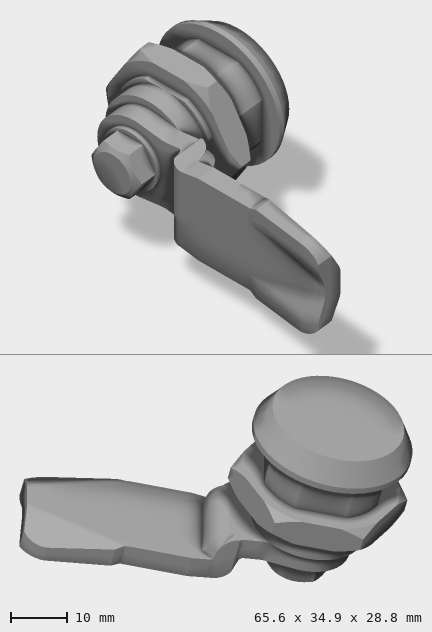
import cadquery as cq
import math


NUT_TOP = 8.1
NUT_THICKNESS = 5.1
FLATS_END = 14.35
BODY_END = 18.5
SHEET = 4.05
CAM_FRONT = BODY_END + SHEET
WASHER_THICKNESS = 1.0
BOLT_SEAT = CAM_FRONT + WASHER_THICKNESS
BOLT_HEIGHT = 4.8
TIP_DEPTH = 29.5

HEAD_RADIUS = 14.4
HEAD_FACE_RADIUS = 11.95
HEAD_HEIGHT = 5.4
HEAD_RIM = 1.2

BODY_FLATS = 20.6
BODY_FLAT_LENGTH = 9.4
NUT_CORNER_RADIUS = 16.0
NUT_CHAMFER_RADIUS = 14.3
NUT_CHAMFER_HEIGHT = 1.4
WASHER_RADIUS = 6.4
BOLT_CORNER_RADIUS = 5.95
BOLT_CHAMFER_RADIUS = 4.3
BOLT_CHAMFER_HEIGHT = 1.25

BOSS_RADIUS = 8.6
FLANK_SLOPE = 0.147
WAIST_START = 6.4
WAIST_END = 8.0
BULGE_START = 11.75
BULGE_FULL = 12.25
BULGE_END = 15.75
BULGE_HALF_WIDTH = 8.8
ARM_START = 19.7
ARM_HALF_WIDTH = 9.5
FINGER_START = 31.85
FINGER_FULL = 33.5
FINGER_HALF_WIDTH = 10.3
TIP_START = 44.8
TIP_END = 65.6 - NUT_CORNER_RADIUS
TIP_HALF_WIDTH = 7.55

ARM_BACK = 23.6
ARM_FRONT = ARM_BACK + SHEET
BEND_FRONT_START = 10.75
BEND_BACK_START = 12.8
BEND_END = 15.75
BEND_WEB_TOP = (11.4, 23.15)
BEND_WEB_BOTTOM = (11.9, 24.65)
BEND_BACK_MIDDLE = (14.9, 20.2)
GUSSET_START = 14.2
GUSSET_MIDDLE = (16.65, 19.8)
GUSSET_SHOULDER = (17.45, 21.3)
GUSSET_END = 18.0
GUSSET_EDGE = 1.95

RAMP_END = 45.45
RAMP_KNEE_DEPTH = 27.95
FORK_SLOPE = 0.291
FORK_HALF_GAP = 1.5
FLARE_ANGLE = math.radians(24.6)
FLARE_BLEND = 0.9
CREST_RADIUS = 4.7
RELIEF_SLOPE = 0.37
RELIEF_ANGLE = math.radians(29.5)
RELIEF_BLEND = 0.8
RELIEF_TIP_Z = 3.1
SLOPE_LENGTH = 39.35


def at_depth(depth):
    """Sketch plane with local axes X and Z whose extrusions run toward -Y."""
    return cq.Workplane("XZ", origin=(0, -depth, 0))


def disc(radius, start, end):
    return at_depth(start).circle(radius).extrude(end - start)


def revolve_about_lock(points):
    """Solid of revolution from (radius, depth) points."""
    outline = [(radius, -depth) for radius, depth in points]
    return cq.Workplane("XY").polyline(outline).close().revolve(360, (0, 0), (0, 1))


def chamfered_hexagon(corner_radius, start, height, chamfer_radius, chamfer_height, both_ends):
    """Hexagon with corners on X and conical chamfers on its front or on both ends."""
    hexagon = at_depth(start).polygon(6, 2 * corner_radius).extrude(height)
    end = start + height
    back = [(0, start), (corner_radius, start)]
    if both_ends:
        back = [(0, start), (chamfer_radius, start), (corner_radius, start + chamfer_height)]
    front = [(corner_radius, end - chamfer_height), (chamfer_radius, end), (0, end)]
    return hexagon.intersect(revolve_about_lock(back + front))


def lock_body():
    head = revolve_about_lock([
        (0, -HEAD_HEIGHT), (HEAD_FACE_RADIUS, -HEAD_HEIGHT),
        (HEAD_RADIUS, -HEAD_RIM), (HEAD_RADIUS, 0), (0, 0),
    ])
    barrel_radius = math.hypot(BODY_FLATS, BODY_FLAT_LENGTH) / 2
    flats = at_depth(0).rect(BODY_FLATS, BODY_FLATS).extrude(FLATS_END)
    barrel = disc(barrel_radius, 0, FLATS_END).intersect(flats)
    return head.union(barrel).union(disc(BODY_FLATS / 2, FLATS_END, BODY_END))


def cam_outline():
    """Cam silhouette as a prism through the whole depth of the cam."""
    flank_x = BOSS_RADIUS * math.sin(math.atan(FLANK_SLOPE))
    flank_z = math.sqrt(BOSS_RADIUS**2 - flank_x**2)
    waist_z = flank_z - FLANK_SLOPE * (WAIST_START - flank_x)
    bulge_start_z = waist_z + FLANK_SLOPE * (BULGE_START - WAIST_END)
    upper_half = (
        at_depth(BODY_END)
        .moveTo(-BOSS_RADIUS, 0)
        .threePointArc((-BOSS_RADIUS * math.sqrt(0.5), BOSS_RADIUS * math.sqrt(0.5)), (flank_x, flank_z))
        .lineTo(WAIST_START, waist_z)
        .tangentArcPoint((WAIST_END, waist_z), relative=False)
        .lineTo(BULGE_START, bulge_start_z)
        .lineTo(BULGE_FULL, BULGE_HALF_WIDTH)
        .lineTo(BULGE_END, BULGE_HALF_WIDTH)
        .lineTo(ARM_START, ARM_HALF_WIDTH)
        .lineTo(FINGER_START, ARM_HALF_WIDTH)
        .lineTo(FINGER_FULL, FINGER_HALF_WIDTH)
        .lineTo(TIP_START, FINGER_HALF_WIDTH)
        .tangentArcPoint((TIP_END, TIP_HALF_WIDTH), relative=False)
        .lineTo(TIP_END, 0)
        .close()
        .extrude(TIP_DEPTH - BODY_END)
    )
    return upper_half.union(upper_half.mirror("XY"))


def at(point):
    """Turn an (X, depth) pair into XY coordinates."""
    return (point[0], -point[1])


def joggled_sheet():
    """Bent sheet of constant thickness, wider than the cam."""
    return (
        cq.Workplane("XY")
        .moveTo(-BOSS_RADIUS, -BODY_END)
        .lineTo(BEND_BACK_START, -BODY_END)
        .threePointArc(at(BEND_BACK_MIDDLE), (BEND_END, -ARM_BACK))
        .lineTo(TIP_END, -ARM_BACK)
        .lineTo(TIP_END, -ARM_FRONT)
        .lineTo(BEND_END, -ARM_FRONT)
        .tangentArcPoint(at(BEND_WEB_BOTTOM), relative=False)
        .lineTo(*at(BEND_WEB_TOP))
        .tangentArcPoint((BEND_FRONT_START, -CAM_FRONT), relative=False)
        .lineTo(-BOSS_RADIUS, -CAM_FRONT)
        .close()
        .extrude(FINGER_HALF_WIDTH, both=True)
    )


def bend_gusset():
    """Swelling behind the joggle, sloping away toward both sides of the cam."""
    flat_half_width = BULGE_HALF_WIDTH - GUSSET_EDGE
    profile = (
        cq.Workplane("XY")
        .workplane(offset=flat_half_width)
        .moveTo(BEND_BACK_START, -BODY_END)
        .lineTo(GUSSET_START, -BODY_END)
        .threePointArc(at(GUSSET_MIDDLE), at(GUSSET_SHOULDER))
        .lineTo(GUSSET_END, -ARM_BACK)
        .lineTo(GUSSET_END, -ARM_BACK - GUSSET_EDGE)
        .lineTo(BEND_BACK_START, -ARM_BACK - GUSSET_EDGE)
        .close()
    )
    sloping_side = profile.extrude(GUSSET_EDGE, taper=45)
    middle = sloping_side.faces("<Z").wires().toPending().extrude(-2 * flat_half_width)
    return middle.union(sloping_side.mirror("XY"))


def sloping_prism(depth, tip_z, fold_slope, angle, blend):
    """Prism behind a face that is flat at the given depth and then slopes forward.

    The fold between the two parts is rounded. It reaches Z = tip_z at the cam tip and
    rises by fold_slope per unit of X away from the tip.
    """
    section_plane = cq.Plane(
        origin=(TIP_END, -depth, tip_z),
        xDir=(fold_slope, 0, 1),
        normal=(-1, 0, fold_slope),
    )
    run = math.cos(angle)
    rise = math.sin(angle)
    return (
        cq.Workplane(section_plane)
        .moveTo(-2 * blend, 0)
        .lineTo(-blend, 0)
        .tangentArcPoint((blend * run, -blend * rise), relative=False)
        .lineTo(SLOPE_LENGTH * run, -SLOPE_LENGTH * rise)
        .lineTo(SLOPE_LENGTH * run, SHEET / 2)
        .lineTo(-2 * blend, SHEET / 2)
        .close()
        .extrude(SLOPE_LENGTH, both=True)
    )


def raised_finger():
    """Upper finger: a ramp bounded inside by the sloping side of the V."""
    ramp = (
        cq.Workplane("XY")
        .moveTo(FINGER_START, -ARM_FRONT)
        .lineTo(FINGER_FULL, -RAMP_KNEE_DEPTH)
        .lineTo(RAMP_END, -TIP_DEPTH)
        .lineTo(TIP_END, -TIP_DEPTH)
        .lineTo(TIP_END, -ARM_BACK - SHEET / 2)
        .lineTo(FINGER_START, -ARM_BACK - SHEET / 2)
        .close()
        .extrude(FINGER_HALF_WIDTH)
    )
    side = sloping_prism(ARM_FRONT, FORK_HALF_GAP, FORK_SLOPE, FLARE_ANGLE, FLARE_BLEND)
    finger = ramp.intersect(side)
    crest = (RAMP_END, -TIP_DEPTH, FORK_HALF_GAP + FORK_SLOPE * FINGER_HALF_WIDTH)
    crest_edges = finger.vertices(cq.NearestToPointSelector(crest)).ancestors("Edge")
    return crest_edges.fillet(CREST_RADIUS)


def cam():
    finger = raised_finger()
    relief = sloping_prism(ARM_BACK, RELIEF_TIP_Z, RELIEF_SLOPE, RELIEF_ANGLE, RELIEF_BLEND)
    sheet = joggled_sheet().union(finger).union(finger.mirror("XY"))
    sheet = sheet.cut(relief).cut(relief.mirror("XY"))
    return sheet.intersect(cam_outline()).union(bend_gusset())


def fastening():
    """Panel nut, cam washer and cam bolt."""
    nut = chamfered_hexagon(
        NUT_CORNER_RADIUS, NUT_TOP, NUT_THICKNESS, NUT_CHAMFER_RADIUS, NUT_CHAMFER_HEIGHT, True
    )
    washer = disc(WASHER_RADIUS, CAM_FRONT, BOLT_SEAT)
    bolt = chamfered_hexagon(
        BOLT_CORNER_RADIUS, BOLT_SEAT, BOLT_HEIGHT, BOLT_CHAMFER_RADIUS, BOLT_CHAMFER_HEIGHT, False
    )
    return nut.union(washer).union(bolt)


result = lock_body().union(cam()).union(fastening())